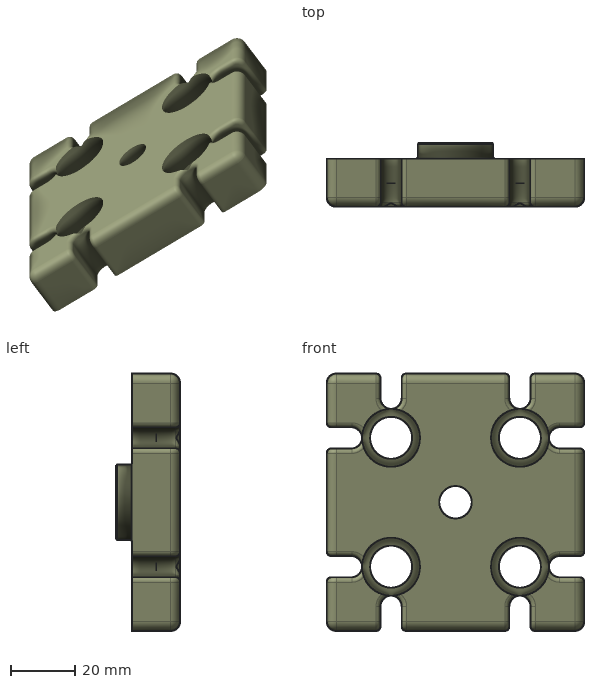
import cadquery as cq

PLATE_SIDE = 80.0
TOTAL_DEPTH = 20.0
BOSS_HEIGHT = TOTAL_DEPTH / 4
PLATE_DEPTH = TOTAL_DEPTH - BOSS_HEIGHT
PLATE_ROUNDING = 3.0
TOP_Z = PLATE_SIDE / 2

HOLE_OFFSET = PLATE_SIDE / 4
HOLE_DIAMETER = 13.0
COUNTERBORE_DIAMETER = 18.0
COUNTERBORE_DEPTH = 7.4

SLOT_WIDTH = 6.5
SLOT_WALL = 0.04
SLOT_DEPTH = TOP_Z - HOLE_OFFSET - COUNTERBORE_DIAMETER / 2 - SLOT_WALL
SLOT_ROUNDING = 1.5

BOSS_DIAMETER = 23.5
BOSS_BASE_ROUNDING = 0.5
BOSS_CHAMFER = 0.5
BORE_DIAMETER = 10.0


def rod(x, z, diameter, length):
    """Cylinder running from the front face along +Y."""
    start = cq.Vector(x, 0, z)
    return cq.Workplane(cq.Solid.makeCylinder(diameter / 2, length, start, cq.Vector(0, 1, 0)))


def rounded_plate():
    """Square block with rounded corners and a rounded front rim."""
    block = cq.Workplane("XY").box(PLATE_SIDE, PLATE_DEPTH, PLATE_SIDE, centered=(True, False, True))
    return block.edges("|Y").fillet(PLATE_ROUNDING).faces("<Y").edges().fillet(PLATE_ROUNDING)


def cut_slot(plate, x):
    """Cut one slot open at the top side and round its edges."""
    end_z = TOP_Z - SLOT_DEPTH + SLOT_WIDTH / 2
    straight = (
        cq.Workplane("XY")
        .box(SLOT_WIDTH, PLATE_DEPTH, TOP_Z - end_z, centered=(True, False, False))
        .translate((x, 0, end_z))
    )
    plate = plate.cut(straight.union(rod(x, end_z, SLOT_WIDTH, PLATE_DEPTH)))
    mouth_edge = cq.selectors.NearestToPointSelector((x + SLOT_WIDTH / 2, PLATE_DEPTH / 2, TOP_Z))
    return plate.edges("|Y").edges(mouth_edge).fillet(SLOT_ROUNDING)


def slotted_plate():
    """Plate with two slots on each side, turned a quarter after each side is cut."""
    plate = rounded_plate()
    for _ in range(4):
        for x in (-HOLE_OFFSET, HOLE_OFFSET):
            plate = cut_slot(plate, x)
        plate = plate.rotate((0, 0, 0), (0, 1, 0), 90)
    return plate


def boss():
    """Round boss with its outer rim chamfered and a fillet where it meets the plate."""
    radius = BOSS_DIAMETER / 2
    profile = (
        cq.Workplane("XY")
        .moveTo(0, PLATE_DEPTH - BOSS_BASE_ROUNDING)
        .lineTo(radius + BOSS_BASE_ROUNDING, PLATE_DEPTH - BOSS_BASE_ROUNDING)
        .lineTo(radius + BOSS_BASE_ROUNDING, PLATE_DEPTH)
        .radiusArc((radius, PLATE_DEPTH + BOSS_BASE_ROUNDING), BOSS_BASE_ROUNDING)
        .lineTo(radius, TOTAL_DEPTH - BOSS_CHAMFER)
        .lineTo(radius - BOSS_CHAMFER, TOTAL_DEPTH)
        .lineTo(0, TOTAL_DEPTH)
        .close()
    )
    return profile.revolve(360, (0, 0, 0), (0, 1, 0))


result = slotted_plate().union(boss())
for hole_x in (-HOLE_OFFSET, HOLE_OFFSET):
    for hole_z in (-HOLE_OFFSET, HOLE_OFFSET):
        result = result.cut(rod(hole_x, hole_z, HOLE_DIAMETER, PLATE_DEPTH))
        result = result.cut(rod(hole_x, hole_z, COUNTERBORE_DIAMETER, COUNTERBORE_DEPTH))
result = result.cut(rod(0, 0, BORE_DIAMETER, TOTAL_DEPTH))